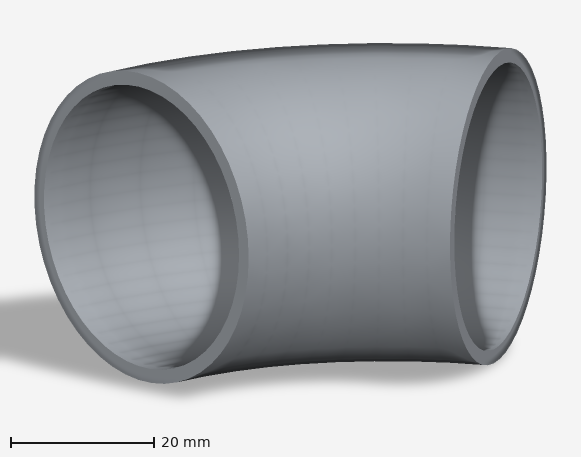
import cadquery as cq
import math

overall_length = 63.45
bend_angle = 60.0
outer_diameter = 44.5
inner_diameter = 40.5

outside_bend_radius = overall_length / math.sin(math.radians(bend_angle))
bend_radius = outside_bend_radius - outer_diameter / 2


def ring_section():
    """Pipe wall cross-section at the inlet, centred on the origin in the XZ plane."""
    return cq.Workplane("XZ").circle(outer_diameter / 2).circle(inner_diameter / 2)


result = ring_section().revolve(
    bend_angle,
    axisStart=(bend_radius, 0),
    axisEnd=(bend_radius, -1),
)